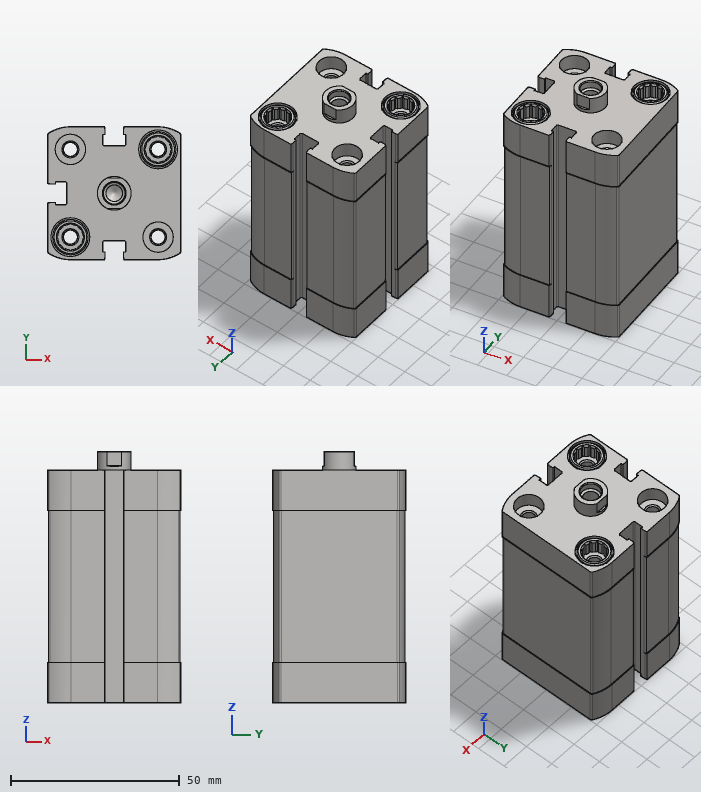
import cadquery as cq
import math

cap_width = 39.5
profile_width = 39.0
housing_height = 69.0
cap_height = 12.0
corner_arc_radius = 12.5
corner_arc_run = 6.9
corner_blend_radius = 0.8

upper_cap_bottom = housing_height - cap_height
sections = [
    (cap_width, 0, cap_height),
    (profile_width, cap_height, upper_cap_bottom),
    (cap_width, upper_cap_bottom, housing_height),
]

slot_mouth_width = 5.8
slot_throat_width = 5.4
slot_taper_depth = 0.75
slot_lip_depth = 2.35
slot_inner_width = 6.8
slot_depth = 5.65
slot_corner_radius = 0.5

hole_pitch = 26.0
thread_core_diameter = 4.13
thread_diameter = 5.0
countersink_angle = 90.0
counterbore_diameter = 9.0
counterbore_depth = 5.0

recess_diameter = 11.5
recess_depth = 1.0
head_diameter = 10.5
head_chamfer = 0.4
socket_diameter = 7.5
socket_point_diameter = 8.3
socket_squares = 3
square_symmetry_angle = 90.0
socket_chamfer_angle = 61.0

rod_diameter = 10.0
rod_projection = 5.5
rod_insertion = cap_height
flat_width = 9.0
flat_length = 4.2
flat_runout_angle = 25.0
rod_hole_mouth_diameter = 7.0
rod_pilot_diameter = 6.4
rod_pilot_depth = 2.5
rod_thread_core_diameter = 4.92
rod_thread_depth = 12.0
drill_tip_angle = 118.0
centre_cone_angle = 120.0

half_pitch = hole_pitch / 2
cut_margin = 1.0
full_turn = 360
slot_angles = (0, 90, 180)


def cone_height(large_diameter, small_diameter, included_angle):
    return (large_diameter - small_diameter) / 2 / math.tan(math.radians(included_angle / 2))


def cylinder(diameter, bottom, top):
    return cq.Workplane("XY").workplane(offset=bottom).circle(diameter / 2).extrude(top - bottom)


def cone(bottom_diameter, top_diameter, bottom, top):
    outline = [(0, bottom), (bottom_diameter / 2, bottom), (top_diameter / 2, top), (0, top)]
    return cq.Workplane("XZ").polyline(outline).close().revolve(full_turn, (0, 0, 0), (0, 1, 0))


def block(width, bottom, height):
    """Prism with flat sides, large corner arcs and small blends where the arcs meet the X faces."""
    half = width / 2
    run = corner_arc_run - (cap_width - width) / 2
    tangent_x = half - run
    drop = corner_arc_radius - math.sqrt(corner_arc_radius**2 - run**2)
    half_angle = math.asin(run / corner_arc_radius) / 2
    mid_x = tangent_x + corner_arc_radius * math.sin(half_angle)
    mid_y = half - corner_arc_radius * (1 - math.cos(half_angle))
    end_y = half - drop
    return (
        cq.Workplane("XY")
        .workplane(offset=bottom)
        .moveTo(-tangent_x, half)
        .lineTo(tangent_x, half)
        .threePointArc((mid_x, mid_y), (half, end_y))
        .lineTo(half, -end_y)
        .threePointArc((mid_x, -mid_y), (tangent_x, -half))
        .lineTo(-tangent_x, -half)
        .threePointArc((-mid_x, -mid_y), (-half, -end_y))
        .lineTo(-half, end_y)
        .threePointArc((-mid_x, mid_y), (-tangent_x, half))
        .close()
        .extrude(height)
        .edges("|Z")
        .edges("<X or >X")
        .fillet(corner_blend_radius)
    )


def slot_mouth(width):
    """Outline of the tapered slot mouth in the +Y face of a block of the given width."""
    face = width / 2
    mouth = slot_mouth_width / 2
    throat = slot_throat_width / 2
    taper_end = face - slot_taper_depth
    return [(-mouth, face), (-throat, taper_end), (throat, taper_end), (mouth, face)]


def slot_cutter():
    """T-slot cutter for the +Y face, over the full height."""
    face = cap_width / 2
    throat = (
        cq.Workplane("XY")
        .rect(slot_throat_width, 2 * slot_depth)
        .extrude(housing_height)
        .translate((0, face, 0))
    )
    inner_length = slot_depth - slot_lip_depth
    inner = (
        cq.Workplane("XY")
        .rect(slot_inner_width, inner_length)
        .extrude(housing_height)
        .translate((0, face - slot_depth + inner_length / 2, 0))
        .edges("|Z and <Y")
        .fillet(slot_corner_radius)
    )
    cutter = throat.union(inner)
    for width, bottom, top in sections:
        mouth = cq.Workplane("XY").workplane(offset=bottom).polyline(slot_mouth(width)).close()
        cutter = cutter.union(mouth.extrude(top - bottom))
    return cutter


def thread_hole(floor):
    """Through hole with a countersunk thread entry at the given floor height."""
    entry = floor - cone_height(thread_diameter, thread_core_diameter, countersink_angle)
    hole = cylinder(thread_core_diameter, -cut_margin, floor)
    return hole.union(cone(thread_core_diameter, thread_diameter, entry, floor))


def counterbored_hole():
    floor = housing_height - counterbore_depth
    return thread_hole(floor).union(cylinder(counterbore_diameter, floor, housing_height))


def screw_hole():
    """Ring recess around a flush screw head with a splined socket, opening into a through hole."""
    recess_floor = housing_height - recess_depth
    floor = housing_height - counterbore_depth
    head = cylinder(head_diameter, recess_floor, housing_height).faces(">Z").chamfer(head_chamfer)
    cutter = cylinder(recess_diameter, recess_floor, housing_height).cut(head)
    cutter = cutter.union(thread_hole(floor)).union(cylinder(socket_diameter, floor, housing_height))
    side = socket_point_diameter / math.sqrt(2)
    spline_pitch = square_symmetry_angle / socket_squares
    for i in range(socket_squares):
        square = cq.Workplane("XY").workplane(offset=floor).rect(side, side).extrude(housing_height - floor)
        cutter = cutter.union(square.rotate((0, 0, 0), (0, 0, 1), (i + 0.5) * spline_pitch))
    lead_in = (socket_point_diameter - socket_diameter) / 2 * math.tan(math.radians(socket_chamfer_angle))
    lead_in_bottom = housing_height - lead_in
    return cutter.union(cone(socket_diameter, socket_point_diameter, lead_in_bottom, housing_height))


def build_rod():
    top = housing_height + rod_projection
    rod = cylinder(rod_diameter, housing_height - rod_insertion, top)
    flat_y = flat_width / 2
    outer_y = rod_diameter / 2
    flat_end = top - flat_length
    runout_end = flat_end - (outer_y - flat_y) * math.tan(math.radians(flat_runout_angle))
    flat_profile = [(flat_y, top), (flat_y, flat_end), (outer_y, runout_end), (outer_y, top)]
    flat = cq.Workplane("YZ").polyline(flat_profile).close().extrude(outer_y, both=True)
    for angle in (0, 180):
        rod = rod.cut(flat.rotate((0, 0, 0), (0, 0, 1), angle))

    pilot_floor = top - rod_pilot_depth
    entry = top - cone_height(rod_hole_mouth_diameter, rod_pilot_diameter, countersink_angle)
    seat = pilot_floor - cone_height(rod_pilot_diameter, rod_thread_core_diameter, centre_cone_angle)
    thread_end = top - rod_thread_depth
    tip = thread_end - cone_height(rod_thread_core_diameter, 0, drill_tip_angle)
    hole_profile = [
        (0, top),
        (rod_hole_mouth_diameter / 2, top),
        (rod_pilot_diameter / 2, entry),
        (rod_pilot_diameter / 2, pilot_floor),
        (rod_thread_core_diameter / 2, seat),
        (rod_thread_core_diameter / 2, thread_end),
        (0, tip),
    ]
    hole = cq.Workplane("XZ").polyline(hole_profile).close().revolve(full_turn, (0, 0, 0), (0, 1, 0))
    return rod.cut(hole)


def build_housing():
    housing = cq.Workplane("XY")
    for width, bottom, top in sections:
        housing = housing.union(block(width, bottom, top - bottom))

    slot = slot_cutter()
    for angle in slot_angles:
        housing = housing.cut(slot.rotate((0, 0, 0), (0, 0, 1), angle))

    plain_hole = counterbored_hole()
    headed_hole = screw_hole()
    for side in (-1, 1):
        x = side * half_pitch
        housing = housing.cut(plain_hole.translate((x, -x, 0)))
        housing = housing.cut(headed_hole.translate((x, x, 0)))

    rod_bore = cylinder(rod_diameter, housing_height - rod_insertion, housing_height)
    return housing.cut(rod_bore)


housing = build_housing()
rod = build_rod()

result = cq.Compound.makeCompound([housing.val(), rod.val()])